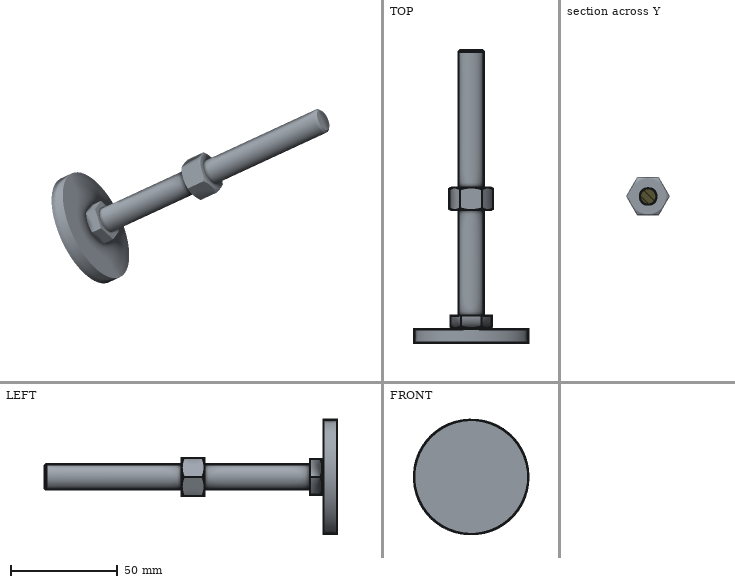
import cadquery as cq
import math

total_length = 138.0

plate_diameter = 54.0
plate_thickness = 6.5

rod_diameter = 12.0
rod_end_chamfer = 1.0

collar_across_flats = 17.0
collar_height = 6.0
neck_diameter = 8.0
neck_height = 0.5

nut_across_flats = 18.0
nut_height = 10.8
nut_start = 62.5

corner_chamfer_angle = 30.0


def cylinder(diameter, start, length):
    """Cylinder about the Y axis, running from start towards +Y."""
    base = cq.Workplane("XZ", origin=(0, start, 0))
    return base.circle(diameter / 2).extrude(-length)


def hexagon(across_flats, start, height, chamfer_far_end):
    """Hexagonal prism with corners on the X axis and cone-cut corners at its ends."""
    across_corners = across_flats / math.cos(math.radians(30))
    prism = (
        cq.Workplane("XZ", origin=(0, start, 0))
        .polygon(6, across_corners)
        .extrude(-height)
    )
    chamfer_width = (across_corners - across_flats) / 2
    chamfer_depth = chamfer_width * math.tan(math.radians(corner_chamfer_angle))
    envelope = cylinder(across_corners, start, height)
    end_faces = "|Y" if chamfer_far_end else "<Y"
    envelope = envelope.faces(end_faces).edges().chamfer(chamfer_depth, chamfer_width)
    return prism.intersect(envelope)


def make_plate():
    return cylinder(plate_diameter, 0, plate_thickness)


def make_stud():
    collar_start = plate_thickness + neck_height
    neck = cylinder(neck_diameter, plate_thickness, neck_height)
    collar = hexagon(collar_across_flats, collar_start, collar_height, chamfer_far_end=False)
    rod = cylinder(rod_diameter, collar_start, total_length - collar_start)
    rod = rod.faces(">Y").chamfer(rod_end_chamfer)
    return rod.union(collar).union(neck)


def make_nut():
    body = hexagon(nut_across_flats, nut_start, nut_height, chamfer_far_end=True)
    return body.cut(cylinder(rod_diameter, nut_start, nut_height))


plate = make_plate()
stud = make_stud()
nut = make_nut()

result = cq.Compound.makeCompound([plate.val(), stud.val(), nut.val()])